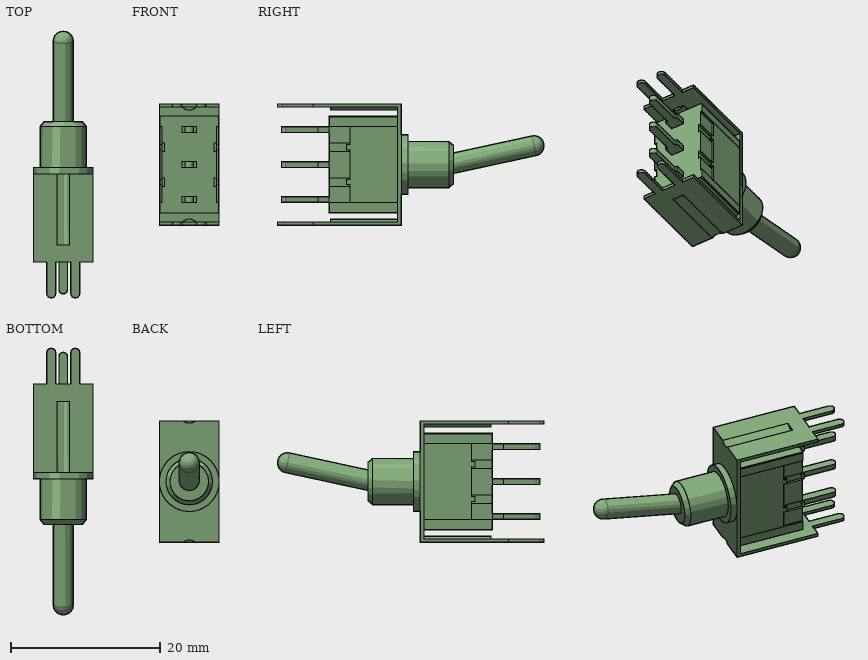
import cadquery as cq
import math


TOTAL_LENGTH = 35.73

BRACKET_WIDTH = 8.0
BRACKET_HEIGHT = 16.3
PLATE_THICKNESS = 0.55
LEG_THICKNESS = 0.45
LEG_END = 11.83
TAIL_END = 16.6
TAIL_WIDTH = 1.2
TAIL_PITCH = 3.2

BEAD_END = 9.5
GROOVE_WIDTH = 1.65
GROOVE_DEPTH = 0.32
RIDGE_WIDTH = 1.75
RIDGE_RISE = 0.4

FLANGE_RADIUS = BRACKET_WIDTH / 2
FLANGE_HEIGHT = 0.9
BUSHING_RADIUS = 3.1
BUSHING_HEIGHT = 7.0
BUSHING_CHAMFER_LENGTH = 0.65
BUSHING_CHAMFER_INSET = 0.55

LEVER_RADIUS = 1.35
LEVER_TILT = 12.2
LEVER_PIVOT_HEIGHT = 6.1
LEVER_TIP_HEIGHT = TOTAL_LENGTH - TAIL_END

HOUSING_WIDTH = 7.82
HOUSING_HEIGHT = 13.0
HOUSING_END = 9.7
HOUSING_CHAMFER = 0.1

STRAP_HEIGHT = 10.22
STRAP_THICKNESS = 0.25
STRAP_END = 6.9

TAB_PITCH = 4.68
TAB_HEIGHT = 0.7
TAB_END = 7.35
NOTCH_HEIGHT = 1.15
NOTCH_DEPTH = 0.32

TERMINAL_COUNT = 3
TERMINAL_PITCH = 4.68
TERMINAL_THICKNESS = 0.8
TERMINAL_WIDTH = 1.15
TERMINAL_END = 16.08
SHOULDER_WIDTH = 1.9
SHOULDER_END = 11.2


def block(width, height, start, end, x=0.0, z=0.0):
    """Block between two depths, centred on x and z."""
    return cq.Workplane("XY").box(width, end - start, height).translate((x, -(start + end) / 2, z))


def round_ended_strip(width, thickness, start, end, x=0.0, z=0.0):
    """Flat strip between two depths whose far end is a half circle."""
    radius = width / 2
    rounding = cq.Workplane("XY").circle(radius).extrude(thickness)
    rounding = rounding.translate((x, radius - end, z - thickness / 2))
    return block(width, thickness, start, end - radius, x, z).union(rounding)


def round_bottomed_bar(width, sag, start, top_z):
    """Bar along the bead with a flat top at top_z and an arc for its underside."""
    return (
        cq.Workplane("XZ", origin=(0, -start, 0))
        .moveTo(-width / 2, top_z)
        .threePointArc((0, top_z - sag), (width / 2, top_z))
        .close()
        .extrude(BEAD_END - start)
    )


def make_leg():
    """Upper bracket leg with its bead and two solder tails."""
    outer_z = BRACKET_HEIGHT / 2
    inner_z = outer_z - LEG_THICKNESS
    middle_z = (outer_z + inner_z) / 2
    leg = block(BRACKET_WIDTH, LEG_THICKNESS, 0, LEG_END, z=middle_z)
    for x in (-TAIL_PITCH / 2, TAIL_PITCH / 2):
        leg = leg.union(round_ended_strip(TAIL_WIDTH, LEG_THICKNESS, LEG_END, TAIL_END, x, middle_z))
    ridge = round_bottomed_bar(RIDGE_WIDTH, RIDGE_RISE, PLATE_THICKNESS, inner_z)
    groove = round_bottomed_bar(GROOVE_WIDTH, GROOVE_DEPTH, 0, outer_z)
    return leg.union(ridge).cut(groove)


def make_strap():
    """Strap on the +X side of the housing, with its two tabs."""
    x = (HOUSING_WIDTH - STRAP_THICKNESS) / 2
    strap = block(STRAP_THICKNESS, STRAP_HEIGHT, PLATE_THICKNESS, STRAP_END, x)
    for z in (-TAB_PITCH / 2, TAB_PITCH / 2):
        strap = strap.union(block(STRAP_THICKNESS, TAB_HEIGHT, STRAP_END, TAB_END, x, z))
    return strap


def make_bushing():
    """Flanged bushing, turned about the Y axis."""
    rim_height = BUSHING_HEIGHT - BUSHING_CHAMFER_LENGTH
    rim_radius = BUSHING_RADIUS - BUSHING_CHAMFER_INSET
    profile = [
        (0, 0),
        (-FLANGE_RADIUS, 0),
        (-FLANGE_RADIUS, FLANGE_HEIGHT),
        (-BUSHING_RADIUS, FLANGE_HEIGHT),
        (-BUSHING_RADIUS, rim_height),
        (-rim_radius, BUSHING_HEIGHT),
        (0, BUSHING_HEIGHT),
    ]
    return cq.Workplane("XY").polyline(profile).close().revolve(360, (0, 0, 0), (0, 1, 0))


def make_lever():
    """Round lever tilted upwards from its pivot, with a ball at its tip."""
    tilt = math.radians(LEVER_TILT)
    axis = cq.Vector(0, math.cos(tilt), math.sin(tilt))
    up = cq.Vector(0, -math.sin(tilt), math.cos(tilt))
    pivot = cq.Vector(0, LEVER_PIVOT_HEIGHT, 0)
    rod_length = (LEVER_TIP_HEIGHT - LEVER_RADIUS - LEVER_PIVOT_HEIGHT) / axis.y
    rod = cq.Workplane(cq.Plane(pivot, xDir=up, normal=axis)).circle(LEVER_RADIUS).extrude(rod_length)
    ball = cq.Workplane("XY").sphere(LEVER_RADIUS).translate((pivot + axis * rod_length).toTuple())
    return rod.union(ball)


def make_neck():
    """Cylinder joining the bushing to the housing through the plate."""
    return cq.Workplane("XZ").circle(BUSHING_RADIUS).extrude(PLATE_THICKNESS)


def make_bracket():
    """Plate with two legs, two straps and the hole for the bushing neck."""
    leg = make_leg()
    strap = make_strap()
    bracket = block(BRACKET_WIDTH, BRACKET_HEIGHT - 2 * LEG_THICKNESS, 0, PLATE_THICKNESS)
    bracket = bracket.union(leg).union(leg.mirror("XY"))
    bracket = bracket.union(strap).union(strap.mirror("YZ"))
    return bracket.cut(make_neck())


def make_housing():
    """Housing block with a strap groove and two tab notches in each X side."""
    housing = block(HOUSING_WIDTH, HOUSING_HEIGHT, PLATE_THICKNESS, HOUSING_END)
    housing = housing.edges("|Y").chamfer(HOUSING_CHAMFER)
    cut_depth = STRAP_THICKNESS + NOTCH_DEPTH
    groove_x = (HOUSING_WIDTH - STRAP_THICKNESS) / 2
    notch_x = (HOUSING_WIDTH - cut_depth) / 2
    recess = block(STRAP_THICKNESS, STRAP_HEIGHT, PLATE_THICKNESS, HOUSING_END, groove_x)
    for z in (-TAB_PITCH / 2, TAB_PITCH / 2):
        recess = recess.union(block(cut_depth, NOTCH_HEIGHT, STRAP_END, HOUSING_END, notch_x, z))
    return housing.cut(recess).cut(recess.mirror("YZ"))


def make_switch_body():
    """Housing, neck, bushing and lever as one solid."""
    return make_housing().union(make_neck()).union(make_bushing()).union(make_lever())


def make_terminal(z):
    """Terminal at height z, standing on the end face of the housing."""
    shoulder = block(SHOULDER_WIDTH, TERMINAL_THICKNESS, HOUSING_END, SHOULDER_END, z=z)
    pin = round_ended_strip(TERMINAL_WIDTH, TERMINAL_THICKNESS, SHOULDER_END, TERMINAL_END, z=z)
    return shoulder.union(pin)


bracket = make_bracket()
switch_body = make_switch_body()
terminals = []
for index in range(TERMINAL_COUNT):
    terminal_z = (index - (TERMINAL_COUNT - 1) / 2) * TERMINAL_PITCH
    terminals.append(make_terminal(terminal_z).val())

result = cq.Compound.makeCompound([bracket.val(), switch_body.val(), *terminals])